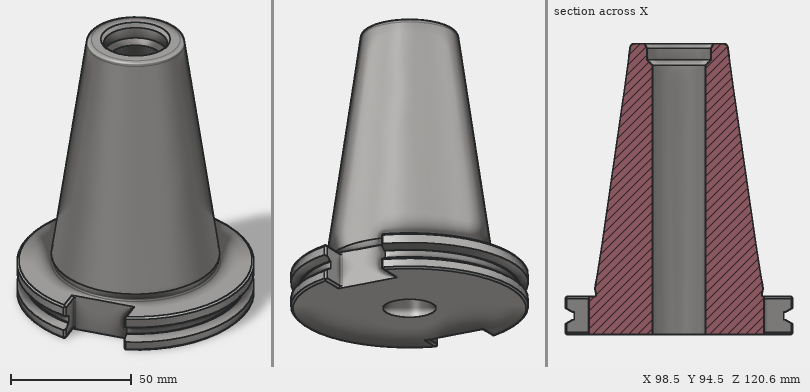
import cadquery as cq

total_height = 120.6
gauge_height = 19.1
gauge_diameter = 69.9
taper_ratio = 7 / 24
end_fillet = 1.9
end_diameter = gauge_diameter - taper_ratio * (total_height - gauge_height)

neck_diameter = 68.9
neck_fillet = 0.7

flange_diameter = 98.5
flange_height = 15.8
flange_chamfer = 0.8
groove_center = 7.7
groove_floor_diameter = 90.7
groove_ledge = 0.6
groove_floor_width = 3.1
groove_mouth_width = 7.0

slot_width = 25.8
front_slot_distance = 37.4
back_slot_distance = 35.3
slot_corner_fillet = 0.6
slot_edge_chamfer = 1.0
slot_rim_chamfer_depth = 0.7

bore_diameter = 22.0
counterbore_diameter = 26.4
mouth_diameter = 28.7
mouth_depth = 1.9
counterbore_depth = 6.8
seat_height = (counterbore_diameter - bore_diameter) / 2

slot_reach = flange_diameter


def revolve(profile):
    return profile.close().revolve(360, (0, 0, 0), (0, 1, 0))


def make_flange():
    """Flange disc; the V groove walls end in narrow flat ledges beside the floor."""
    radius = flange_diameter / 2
    floor_radius = groove_floor_diameter / 2
    profile = (
        cq.Workplane("XZ")
        .lineTo(radius - flange_chamfer, 0)
        .lineTo(radius, flange_chamfer)
        .lineTo(radius, groove_center - groove_mouth_width / 2)
        .lineTo(floor_radius + groove_ledge, groove_center - groove_floor_width / 2)
        .lineTo(floor_radius, groove_center - groove_floor_width / 2)
        .lineTo(floor_radius, groove_center + groove_floor_width / 2)
        .lineTo(floor_radius + groove_ledge, groove_center + groove_floor_width / 2)
        .lineTo(radius, groove_center + groove_mouth_width / 2)
        .lineTo(radius, flange_height - flange_chamfer)
        .lineTo(radius - flange_chamfer, flange_height)
        .lineTo(0, flange_height)
    )
    return revolve(profile)


def make_taper():
    neck_radius = neck_diameter / 2
    fillet_top = flange_height + neck_fillet
    profile = (
        cq.Workplane("XZ")
        .moveTo(0, flange_height)
        .lineTo(neck_radius + neck_fillet, flange_height)
        .radiusArc((neck_radius, fillet_top), neck_fillet)
        .lineTo(gauge_diameter / 2, gauge_height)
        .lineTo(end_diameter / 2, total_height)
        .lineTo(0, total_height)
    )
    return revolve(profile).faces(">Z").edges().fillet(end_fillet)


def make_slot(floor_distance, side):
    """Cutter for one slot; side is +1 for +Y and -1 for -Y."""
    middle = side * (floor_distance + slot_reach / 2)
    cutter = (
        cq.Workplane("XY")
        .center(0, middle)
        .rect(slot_width, slot_reach)
        .extrude(flange_height)
        .edges("|Z")
        .fillet(slot_corner_fillet)
    )
    for face_height, inward in ((0, 1), (flange_height, -1)):
        cutter = cutter.union(make_wall_chamfers(floor_distance, side, face_height, inward))
    return cutter.union(make_rim_chamfers(side))


def make_wall_chamfers(floor_distance, side, face_height, inward):
    """Prism that flares both slot walls where they meet one flange face."""
    half_width = slot_width / 2
    flared_half_width = half_width + slot_edge_chamfer
    chamfer_end = face_height + inward * slot_edge_chamfer
    return (
        cq.Workplane("XZ", origin=(0, side * floor_distance, 0))
        .moveTo(-flared_half_width, face_height)
        .lineTo(flared_half_width, face_height)
        .lineTo(half_width, chamfer_end)
        .lineTo(-half_width, chamfer_end)
        .close()
        .extrude(-side * slot_reach)
    )


def make_rim_chamfers(side):
    """Prisms that bevel the slot walls where they meet the flange rim."""
    half_width = slot_width / 2
    flared_half_width = half_width + slot_edge_chamfer
    rim_radius = flange_diameter / 2
    rim_y = (rim_radius**2 - flared_half_width**2) ** 0.5
    return (
        cq.Workplane("XY")
        .moveTo(-half_width, side * (rim_y - slot_rim_chamfer_depth))
        .lineTo(half_width, side * (rim_y - slot_rim_chamfer_depth))
        .lineTo(flared_half_width, side * rim_y)
        .lineTo(flared_half_width, side * rim_radius)
        .lineTo(-flared_half_width, side * rim_radius)
        .lineTo(-flared_half_width, side * rim_y)
        .close()
        .extrude(flange_height)
    )


def make_bore():
    bore_radius = bore_diameter / 2
    counterbore_radius = counterbore_diameter / 2
    counterbore_floor = total_height - counterbore_depth
    profile = (
        cq.Workplane("XZ")
        .lineTo(bore_radius, 0)
        .lineTo(bore_radius, counterbore_floor - seat_height)
        .lineTo(counterbore_radius, counterbore_floor)
        .lineTo(counterbore_radius, total_height - mouth_depth)
        .lineTo(mouth_diameter / 2, total_height)
        .lineTo(0, total_height)
    )
    return revolve(profile)


result = (
    make_flange()
    .cut(make_slot(front_slot_distance, -1))
    .cut(make_slot(back_slot_distance, 1))
    .union(make_taper())
    .cut(make_bore())
)